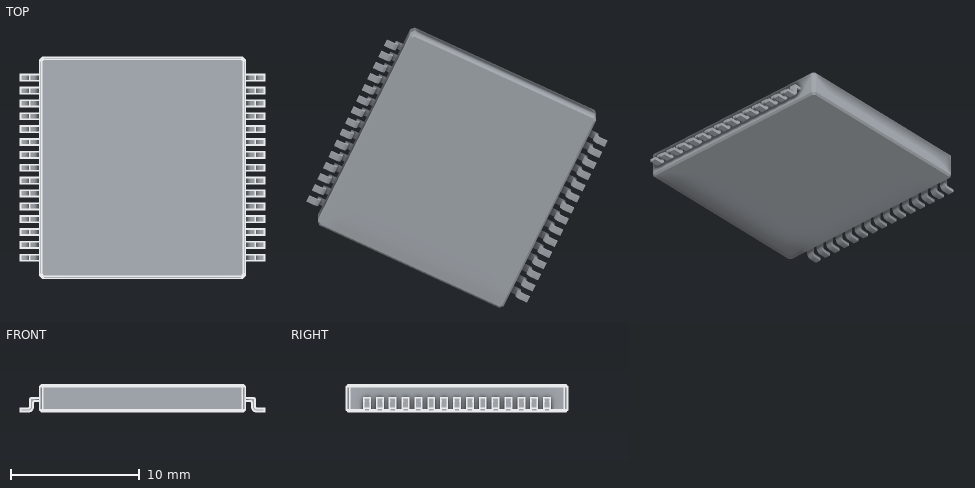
import cadquery as cq

body_length = 16.0
body_width = 17.2
body_height = 2.08
corner_chamfer = 0.25
rim_chamfer = 0.15

span_over_leads = 19.0
leads_per_side = 15
lead_pitch = 1.0
lead_width = 0.5
lead_thickness = 0.25
lead_top = 1.07
foot_length = 0.75
bend_radius = 0.14
heel_radius = bend_radius + lead_thickness
lead_embed = 0.3

tip_x = -span_over_leads / 2
upright_outer_x = tip_x + foot_length
upright_inner_x = upright_outer_x + lead_thickness
root_x = -body_length / 2 + lead_embed
shoulder_bottom = lead_top - lead_thickness


def make_body():
    """Rectangular block, chamfered on its upright corners and both rims."""
    block = cq.Workplane("XY").box(
        body_length, body_width, body_height, centered=(True, True, False)
    )
    block = block.edges("|Z").chamfer(corner_chamfer)
    return block.faces("<Z or >Z").edges().chamfer(rim_chamfer)


def round_bend(lead, x, y, z, radius):
    """Fillet the lead edge that runs along Y through the given point."""
    bend = cq.selectors.NearestToPointSelector((x, y, z))
    return lead.edges("|Y").edges(bend).fillet(radius)


def make_lead(y_center):
    """One lead on the -X side: foot, upright and a shoulder running into the body."""
    outline = [
        (tip_x, 0),
        (upright_inner_x, 0),
        (upright_inner_x, shoulder_bottom),
        (root_x, shoulder_bottom),
        (root_x, lead_top),
        (upright_outer_x, lead_top),
        (upright_outer_x, lead_thickness),
        (tip_x, lead_thickness),
    ]
    lead = (
        cq.Workplane("XZ", origin=(0, y_center, 0))
        .polyline(outline)
        .close()
        .extrude(lead_width / 2, both=True)
    )
    bends = [
        (upright_inner_x, 0, heel_radius),
        (upright_outer_x, lead_thickness, bend_radius),
        (upright_inner_x, shoulder_bottom, bend_radius),
        (upright_outer_x, lead_top, bend_radius),
    ]
    for x, z, radius in bends:
        lead = round_bend(lead, x, y_center, z, radius)
    return lead


def add_leads(body):
    """Join an evenly spaced, mirrored row of leads to each long side of the body."""
    first_lead_y = -lead_pitch * (leads_per_side - 1) / 2
    for index in range(leads_per_side):
        left_lead = make_lead(first_lead_y + index * lead_pitch)
        right_lead = left_lead.mirror("YZ")
        body = body.union(left_lead).union(right_lead)
    return body


result = add_leads(make_body())